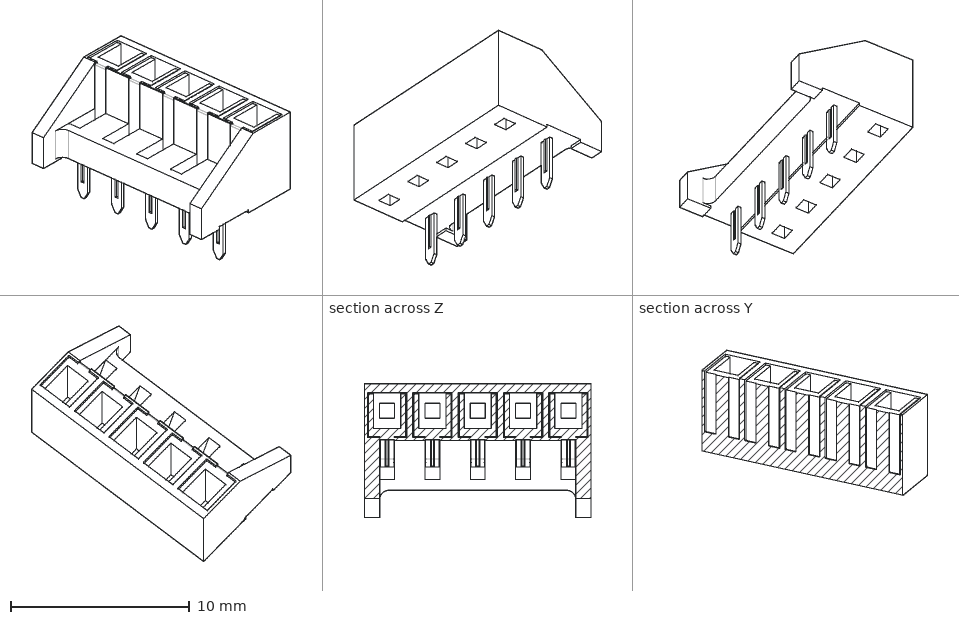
import cadquery as cq
import math


LENGTH = 12.7
DEPTH = 7.5
HEIGHT = 5.0
POLES = 5
PITCH = LENGTH / POLES
TOP_DEPTH = 3.15
SHELF_HEIGHT = 2.01
CHEEK_WIDTH = 0.86
WALL_DEPTH = 3.19
SHELF_DEPTH = 5.98
SHELF_CORNER = 0.51
RELIEF_START = 3.53
RELIEF_HEIGHT = 0.18

CAVITY_WIDTH = 2.18
CAVITY_BACK = 0.52
CAVITY_FRONT = 3.01
CAVITY_FLOOR = 1.25
HOLE_SIZE = 0.83
HOLE_CENTRE = 1.52

GAP = 0.045
BOX_TOP = HEIGHT - 0.09
POCKET_WIDTH = 1.51
POCKET_FRONT = 2.5
TONGUE_WIDTH = 0.83
TONGUE_FRONT = 3.15
TONGUE_ROUND = 0.09

SHEET = 0.2
PIN_WIDTH = 0.75
PIN_FRONT = 4.67
PIN_LENGTH = 3.0
PIN_TIP_WIDTH = 0.23
PIN_TIP_LENGTH = 0.46
PIN_SHOULDER = PIN_TIP_LENGTH - PIN_LENGTH
LEG_TOP = 0.9
BEND_RADIUS = 0.45
BEND_START = PIN_FRONT - BEND_RADIUS
BEND_END = LEG_TOP - BEND_RADIUS

BEAD_WIDTH = 0.23
BEAD_BASE_WIDTH = 0.11
BEAD_DEPTH = 0.05
BEAD_BOTTOM = -1.98

SLOT_FRONT = 5.37

POLE_X = [(i - (POLES - 1) / 2) * PITCH for i in range(POLES)]


def block(x, width, back, front, bottom, top):
    """Box centred on x, with back and front as depths from the back face."""
    return (
        cq.Workplane("XY")
        .box(width, front - back, top - bottom, centered=(True, False, False))
        .translate((x, -front, bottom))
    )


def extrude_side(points, x, width):
    """Extrude a (depth, height) outline along X, centred on x."""
    outline = [(-depth, height) for depth, height in points]
    return (
        cq.Workplane("YZ", origin=(x, 0, 0))
        .polyline(outline)
        .close()
        .extrude(width / 2, both=True)
    )


def housing():
    """Sloped block with end cheeks, a shelf between them and a relief underneath."""
    body = extrude_side(
        [(0, 0), (DEPTH, 0), (DEPTH, SHELF_HEIGHT), (TOP_DEPTH, HEIGHT), (0, HEIGHT)], 0, LENGTH
    )
    inner_width = LENGTH - 2 * CHEEK_WIDTH
    above_shelf = block(0, inner_width, WALL_DEPTH, DEPTH, SHELF_HEIGHT, HEIGHT)
    before_shelf = block(0, inner_width, SHELF_DEPTH, DEPTH, 0, HEIGHT)
    before_shelf = before_shelf.edges("|Z and >Y").fillet(SHELF_CORNER)
    body = body.cut(above_shelf).cut(before_shelf)
    relief = block(0, LENGTH, RELIEF_START, SHELF_DEPTH, 0, RELIEF_HEIGHT)
    corner_relief = block(0, inner_width, SHELF_DEPTH, SHELF_DEPTH + SHELF_CORNER, 0, RELIEF_HEIGHT)
    return body.cut(relief).cut(corner_relief)


def cavity(x):
    """Space cleared in the housing for one contact."""
    well = block(x, CAVITY_WIDTH, CAVITY_BACK, CAVITY_FRONT, CAVITY_FLOOR, HEIGHT)
    hole_back = HOLE_CENTRE - HOLE_SIZE / 2
    hole = block(x, HOLE_SIZE, hole_back, hole_back + HOLE_SIZE, 0, HEIGHT)
    window = block(x, TONGUE_WIDTH, CAVITY_FRONT - GAP, WALL_DEPTH, CAVITY_FLOOR, HEIGHT)
    slot = extrude_side(
        [
            (TONGUE_FRONT, SHELF_HEIGHT),
            (TONGUE_FRONT, LEG_TOP - SHEET),
            (BEND_START, LEG_TOP - SHEET),
            (PIN_FRONT, BEND_END),
            (SLOT_FRONT, SHELF_HEIGHT),
        ],
        x,
        TONGUE_WIDTH,
    )
    return well.union(hole).union(window).union(slot)


def contact_box(x):
    """Three-sided box, open to the back, with a rounded tongue at the front."""
    width = CAVITY_WIDTH - 2 * GAP
    box = block(x, width, CAVITY_BACK + GAP, CAVITY_FRONT - GAP, CAVITY_FLOOR, BOX_TOP)
    pocket = block(x, POCKET_WIDTH, CAVITY_BACK, POCKET_FRONT, CAVITY_FLOOR, BOX_TOP)
    tongue = block(x, TONGUE_WIDTH, POCKET_FRONT, TONGUE_FRONT, LEG_TOP - SHEET, BOX_TOP)
    tongue = tongue.edges("|X and <Y and >Z").fillet(TONGUE_ROUND)
    return box.cut(pocket).union(tongue)


def bent_strip(x, outer_width, inner_width, offset, thickness, bottom):
    """Strip swept along leg, bend and pin, its outer surface set in by offset."""
    top = LEG_TOP - offset
    front = PIN_FRONT - offset
    radius = BEND_RADIUS - offset
    diagonal = radius * math.sqrt(0.5)
    path = (
        cq.Workplane("YZ", origin=(x, 0, 0))
        .moveTo(-TONGUE_FRONT, top)
        .lineTo(-BEND_START, top)
        .threePointArc((-BEND_START - diagonal, BEND_END + diagonal), (-front, BEND_END))
        .lineTo(-front, bottom)
    )
    half_outer, half_inner = outer_width / 2, inner_width / 2
    section = [(-half_outer, 0), (half_outer, 0), (half_inner, -thickness), (-half_inner, -thickness)]
    return (
        cq.Workplane("XZ", origin=(x, -TONGUE_FRONT, top))
        .polyline(section)
        .close()
        .sweep(path, transition="right")
    )


def bead(x, offset):
    """Trapezoidal bead with a sloped lower end, starting offset below the outer surface."""
    strip = bent_strip(x, BEAD_WIDTH, BEAD_BASE_WIDTH, offset, BEAD_DEPTH, BEAD_BOTTOM)
    outer = PIN_FRONT - offset
    inner = outer - BEAD_DEPTH
    sloped_end = extrude_side(
        [(inner, BEAD_BOTTOM), (outer, BEAD_BOTTOM), (inner, BEAD_BOTTOM + BEAD_DEPTH)], x, BEAD_WIDTH
    )
    return strip.cut(sloped_end)


def pin_tip(x):
    """Tapered lower end of a pin."""
    half = PIN_WIDTH / 2
    half_tip = PIN_TIP_WIDTH / 2
    outline = [(-half, PIN_SHOULDER), (half, PIN_SHOULDER), (half_tip, -PIN_LENGTH), (-half_tip, -PIN_LENGTH)]
    return (
        cq.Workplane("XZ", origin=(x, -PIN_FRONT, 0))
        .polyline(outline)
        .close()
        .extrude(-SHEET)
    )


def contact_leg(x):
    """Leg running out of the wall and bent down into the pin, stiffened by a pressed bead."""
    strip = bent_strip(x, PIN_WIDTH, PIN_WIDTH, 0, SHEET, PIN_SHOULDER)
    bulge = bead(x, SHEET)
    groove = bead(x, 0)
    return strip.union(pin_tip(x)).union(bulge).cut(groove)


result = housing()
for x in POLE_X:
    result = result.cut(cavity(x)).union(contact_box(x)).union(contact_leg(x))